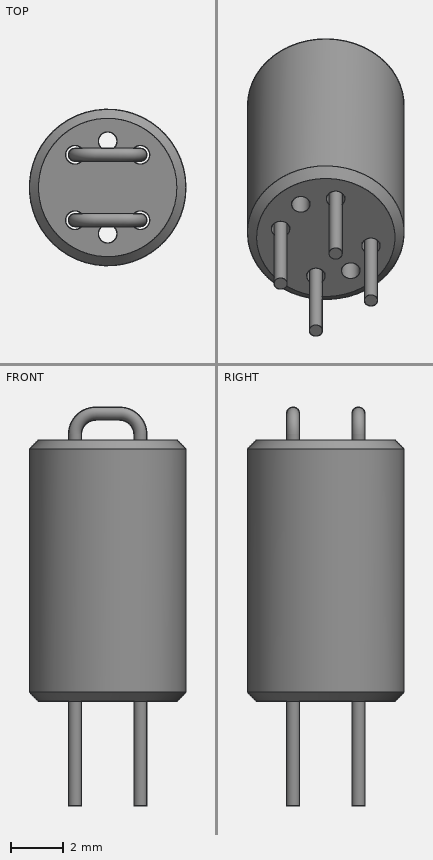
import cadquery as cq

housing_diameter = 6.0
housing_height = 10.0
edge_chamfer = 0.35
hole_diameter = 0.7

total_height = 15.25
wire_diameter = 0.5
lead_offset = 1.25
bend_radius = 0.8
loop_rise = 1.25

wire_top = total_height - wire_diameter / 2
bend_start = wire_top - bend_radius
housing_bottom = total_height - loop_rise - housing_height
vent_offset = lead_offset * 2**0.5
lead_points = [(x, y) for x in (-lead_offset, lead_offset) for y in (-lead_offset, lead_offset)]
vent_points = [(0, -vent_offset), (0, vent_offset)]


def make_housing():
    """Chamfered cylinder with lead holes and two vents running right through."""
    body = (
        cq.Workplane("XY", origin=(0, 0, housing_bottom))
        .circle(housing_diameter / 2)
        .extrude(housing_height)
        .edges()
        .chamfer(edge_chamfer)
    )
    holes = (
        cq.Workplane("XY", origin=(0, 0, housing_bottom))
        .pushPoints(lead_points + vent_points)
        .circle(hole_diameter / 2)
        .extrude(housing_height)
    )
    return body.cut(holes)


def make_wire_link(y):
    """U-shaped round wire with two leads passing through the housing."""
    bridge_end = lead_offset - bend_radius
    bend_mid = bend_radius * 0.5**0.5
    path = (
        cq.Workplane("XZ", origin=(0, y, 0))
        .moveTo(-lead_offset, 0)
        .lineTo(-lead_offset, bend_start)
        .threePointArc((-bridge_end - bend_mid, bend_start + bend_mid), (-bridge_end, wire_top))
        .lineTo(bridge_end, wire_top)
        .threePointArc((bridge_end + bend_mid, bend_start + bend_mid), (lead_offset, bend_start))
        .lineTo(lead_offset, 0)
    )
    return cq.Workplane("XY", origin=(-lead_offset, y, 0)).circle(wire_diameter / 2).sweep(path)


housing = make_housing()
wire_links = [make_wire_link(y) for y in (-lead_offset, lead_offset)]

result = cq.Compound.makeCompound([housing.val(), *[link.val() for link in wire_links]])